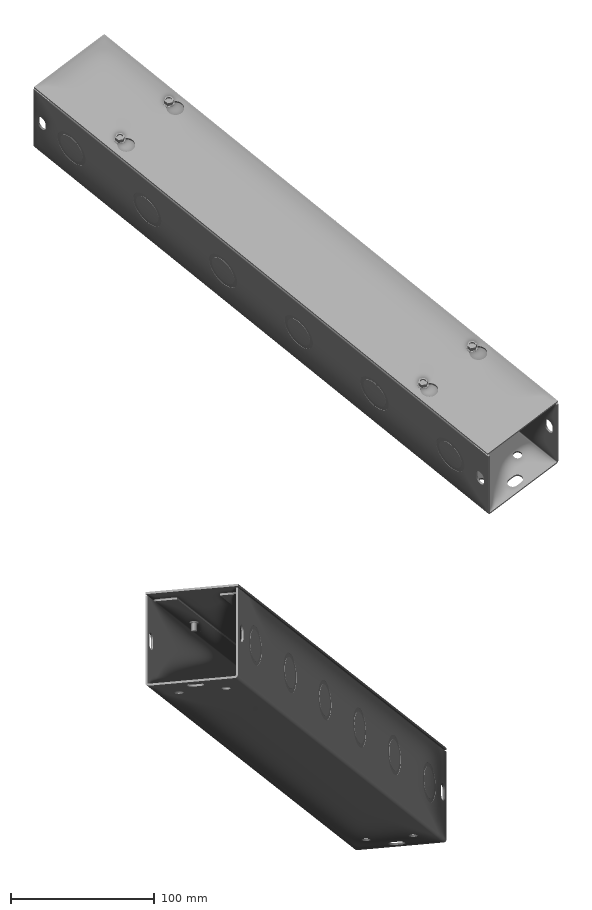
import cadquery as cq

LENGTH = 457
WIDTH = 68.0
OVERALL_HEIGHT = 72.0
SHEET = 1.5
LID_TOP = WIDTH
TRAY_HEIGHT = LID_TOP - SHEET
LID_END_GAP = 0.5

BEND_RADIUS = 2.5
FLANGE_WIDTH = 18.5
FLANGE_END_GAP = 15.0
END_WALL_HEIGHT = 65.5

KNOCKOUT_COUNT = 6
KNOCKOUT_PITCH = LENGTH / KNOCKOUT_COUNT
KNOCKOUT_HEIGHT = 33.5
KNOCKOUT_INNER_DIAMETER = 22.5
KNOCKOUT_OUTER_DIAMETER = 28.5
GROOVE_DEPTH = 0.25

SLOT_WIDTH = 8.0
SLOT_LENGTH = 12.5
SLOT_X = LENGTH / 2 - 8.2
WALL_SLOT_HEIGHT = 34.5
FLOOR_HOLE_DIAMETER = 6.5
FLOOR_HOLE_X = LENGTH / 2 - 24.0
FLOOR_HOLE_Y = 17.5

SCREW_X = LENGTH / 3
SCREW_Y = 24.0
SCREW_PLACES = [(x, y) for x in (-SCREW_X, SCREW_X) for y in (-SCREW_Y, SCREW_Y)]
SHANK_DIAMETER = 4.05
SHANK_BOTTOM = 58.5
WASHER_DIAMETER = 8.0
WASHER_THICKNESS = 0.5
HEX_ACROSS_CORNERS = 7.0
RECESS_DIAMETER = 4.5
RECESS_DEPTH = 1.5

COLLAR_DIAMETER = 6.5
COLLAR_HEIGHT = 1.0

KEYHOLE_DIAMETER = 12.5
KEYHOLE_OFFSET = 6.5
KEYHOLE_SLOT_WIDTH = 4.5


def box(length, width, bottom, top, x=0):
    """Box centred on X = x and Y = 0 that reaches from bottom to top along Z."""
    base = cq.Workplane("XY", origin=(x, 0, bottom))
    return base.box(length, width, top - bottom, centered=(True, True, False))


def cylinders(places, diameter, bottom, top):
    """Upright cylinders at the given X, Y places."""
    base = cq.Workplane("XY", origin=(0, 0, bottom))
    return base.pushPoints(places).circle(diameter / 2).extrude(top - bottom)


def make_tray_shell():
    """Open-ended channel; its flanges stop short of the ends, where the walls stand straight."""
    inner_width = WIDTH - 2 * SHEET
    flanged_length = LENGTH - 2 * FLANGE_END_GAP

    shell = box(flanged_length, WIDTH, 0, TRAY_HEIGHT).edges("|X").fillet(BEND_RADIUS)
    for side in (-1, 1):
        end_x = side * (LENGTH - FLANGE_END_GAP) / 2
        end = box(FLANGE_END_GAP, WIDTH, 0, END_WALL_HEIGHT, end_x)
        shell = shell.union(end.edges("|X and <Z").fillet(BEND_RADIUS))

    cavity = box(LENGTH, inner_width, SHEET, TRAY_HEIGHT - SHEET)
    cavity = cavity.edges("|X").fillet(BEND_RADIUS - SHEET)
    mouth = box(flanged_length, WIDTH - 2 * FLANGE_WIDTH, SHEET, TRAY_HEIGHT)
    shell = shell.cut(cavity).cut(mouth)
    for side in (-1, 1):
        end_x = side * (LENGTH - FLANGE_END_GAP) / 2
        shell = shell.cut(box(FLANGE_END_GAP, inner_width, TRAY_HEIGHT - BEND_RADIUS, TRAY_HEIGHT, end_x))
    return shell


def add_screw_collars(tray):
    flange_bottom = TRAY_HEIGHT - SHEET
    collar_bottom = flange_bottom - COLLAR_HEIGHT
    tray = tray.union(cylinders(SCREW_PLACES, COLLAR_DIAMETER, collar_bottom, flange_bottom))
    return tray.cut(cylinders(SCREW_PLACES, SHANK_DIAMETER, collar_bottom, TRAY_HEIGHT))


def cut_end_openings(tray):
    ends = (-SLOT_X, SLOT_X)
    wall_slots = (
        cq.Workplane("XZ")
        .pushPoints([(x, WALL_SLOT_HEIGHT) for x in ends])
        .slot2D(SLOT_LENGTH, SLOT_WIDTH, 90)
        .extrude(WIDTH / 2, both=True)
    )
    floor_slots = (
        cq.Workplane("XY")
        .pushPoints([(x, 0) for x in ends])
        .slot2D(SLOT_LENGTH, SLOT_WIDTH, 90)
        .extrude(SHEET)
    )
    hole_places = [
        (x, y) for x in (-FLOOR_HOLE_X, FLOOR_HOLE_X) for y in (-FLOOR_HOLE_Y, FLOOR_HOLE_Y)
    ]
    floor_holes = cylinders(hole_places, FLOOR_HOLE_DIAMETER, 0, SHEET)
    return tray.cut(wall_slots).cut(floor_slots).cut(floor_holes)


def cut_knockout_grooves(tray):
    first_x = -(KNOCKOUT_COUNT - 1) / 2 * KNOCKOUT_PITCH
    places = [(first_x + i * KNOCKOUT_PITCH, KNOCKOUT_HEIGHT) for i in range(KNOCKOUT_COUNT)]
    grooves = (
        cq.Workplane("XZ", origin=(0, -WIDTH / 2 + GROOVE_DEPTH, 0))
        .pushPoints(places)
        .circle(KNOCKOUT_OUTER_DIAMETER / 2)
        .circle(KNOCKOUT_INNER_DIAMETER / 2)
        .extrude(GROOVE_DEPTH)
    )
    return tray.cut(grooves)


def make_tray():
    tray = add_screw_collars(make_tray_shell())
    tray = cut_end_openings(tray)
    return cut_knockout_grooves(tray)


def make_lid():
    lid = box(LENGTH - 2 * LID_END_GAP, WIDTH, TRAY_HEIGHT, LID_TOP)
    hole_places = [(x + KEYHOLE_OFFSET, y) for x, y in SCREW_PLACES]
    slots = (
        cq.Workplane("XY", origin=(KEYHOLE_OFFSET / 2, 0, TRAY_HEIGHT))
        .pushPoints(SCREW_PLACES)
        .slot2D(KEYHOLE_OFFSET + KEYHOLE_SLOT_WIDTH, KEYHOLE_SLOT_WIDTH)
        .extrude(SHEET)
    )
    return lid.cut(slots).cut(cylinders(hole_places, KEYHOLE_DIAMETER, TRAY_HEIGHT, LID_TOP))


def make_screw(place):
    """Hex washer-head screw with a round recess; its washer rests on the lid."""
    shank = cylinders([place], SHANK_DIAMETER, SHANK_BOTTOM, LID_TOP)
    washer = cylinders([place], WASHER_DIAMETER, LID_TOP, LID_TOP + WASHER_THICKNESS)
    head = (
        cq.Workplane("XY", origin=(*place, LID_TOP))
        .polygon(6, HEX_ACROSS_CORNERS)
        .extrude(OVERALL_HEIGHT - LID_TOP)
    )
    recess = cylinders([place], RECESS_DIAMETER, OVERALL_HEIGHT - RECESS_DEPTH, OVERALL_HEIGHT)
    return shank.union(washer).union(head).cut(recess)


tray = make_tray()
lid = make_lid()
screws = [make_screw(place) for place in SCREW_PLACES]

result = cq.Compound.makeCompound([body.solids().val() for body in (tray, lid, *screws)])